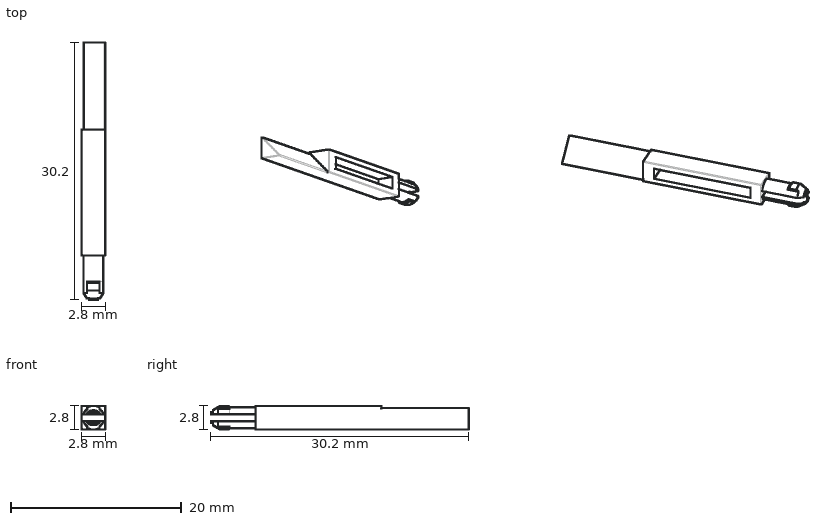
import cadquery as cq

body_width = 2.8
body_length = 14.8
half_width = body_width / 2

edge_radius = 0.1

window_length = 12.0
window_height = 1.4
window_depth = 2.0

pin_length = 5.2
pin_radius = 1.24
pin_gap = 0.8
nub_radius = 0.65
nub_length = 0.2
nose_radius = 0.88

latch_radius = half_width
latch_width = 1.45
latch_front = 1.1
latch_back = 2.0
latch_ramp_end = 2.18

tail_length = 10.2
tail_inset = 0.1


def make_body():
    bar = (
        cq.Workplane("XY")
        .box(body_width, body_length, body_width)
        .edges()
        .fillet(edge_radius)
        .translate((0, body_length / 2, 0))
    )
    window = (
        cq.Workplane("XY")
        .box(window_depth, window_length, window_height)
        .translate((window_depth / 2 - half_width, body_length / 2, 0))
    )
    return bar.cut(window)


def revolve_about_y(profile):
    """Turn a closed (radius, y) outline about the Y axis."""
    return cq.Workplane("XY").polyline(profile).close().revolve(360, (0, 0), (0, 1))


def make_pin():
    tip_y = -pin_length
    root_y = edge_radius
    nose_y = tip_y + nub_length
    nose_and_latch = revolve_about_y([
        (0, tip_y),
        (nub_radius, tip_y),
        (nub_radius, nose_y),
        (nose_radius, nose_y),
        (latch_radius, tip_y + latch_front),
        (latch_radius, tip_y + latch_back),
        (pin_radius, tip_y + latch_ramp_end),
        (pin_radius, root_y),
        (0, root_y),
    ])
    shank_length = pin_length + root_y
    shank = cq.Workplane("XZ", origin=(0, root_y, 0)).circle(pin_radius).extrude(shank_length)
    latch_band = (
        cq.Workplane("XY")
        .box(latch_width, shank_length, body_width)
        .translate((0, root_y - shank_length / 2, 0))
    )
    gap = (
        cq.Workplane("XY")
        .box(body_width, pin_length, pin_gap)
        .translate((0, -pin_length / 2, 0))
    )
    return nose_and_latch.intersect(shank.union(latch_band)).cut(gap)


def make_tail():
    corners = [
        (tail_inset - half_width, -half_width),
        (half_width, -half_width),
        (half_width, half_width - tail_inset),
    ]
    overlap = edge_radius
    return (
        cq.Workplane("XZ", origin=(0, body_length - overlap, 0))
        .polyline(corners)
        .close()
        .extrude(-(tail_length + overlap))
        .edges("|Y or >Y")
        .fillet(edge_radius)
    )


result = make_body().union(make_pin()).union(make_tail())